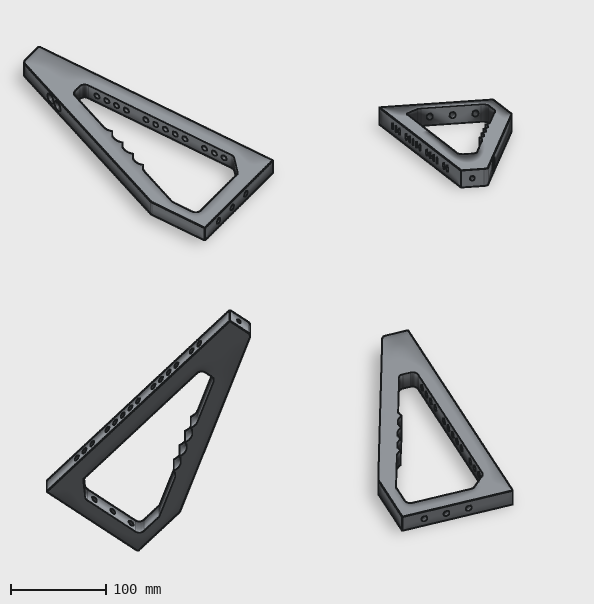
import cadquery as cq
import math

length = 300.0
width = 125.0
thickness = 19.0
taper_angle = math.radians(22.5)
foot_start = 231.0
bend_radius = 6.3
edge_chamfer = 0.5

rail = 19.0
front_rail = 13.0
window_left = 70.0
corner_cut = 18.5
window_radius = 6.3

ridge_count = 4
ridge_pitch = 20.0
scallop_radius = 13.8
first_ridge_x = 136.8

hole_pitch = width / 10
nose_hole_diameter = 5.0
rail_hole_diameter = 6.5
screw_diameter = 6.5
access_diameter = 11.0
nose_hole_depth = 2 * hole_pitch
drill_tip_angle = math.radians(118)
screw_steps = (4, 5)
back_hole_steps = (7, 8, 9, 10, 12, 13, 14, 15, 16, 18, 19, 20)
right_hole_steps = (4, 6, 8)

slope = math.tan(taper_angle)
nose_y = foot_start * slope
rail_along_y = rail / math.cos(taper_angle)
window_back = width - rail
window_right = length - rail
mid_z = thickness / 2


def inner_taper_y(x):
    """Y of the inner side of the tapered rail."""
    return (foot_start - x) * slope + rail_along_y


def upright_edge(x, y):
    """Selects the vertical edge nearest to a corner of the outline."""
    return cq.selectors.NearestToPointSelector((x, y, mid_z))


def make_plate():
    nose = (0, nose_y)
    foot = (foot_start, 0)
    square_corners = [(length, 0), (length, width), (0, width)]
    plate = cq.Workplane("XY").polyline([nose, foot] + square_corners).close().extrude(thickness)
    for corner in (nose, foot):
        plate = plate.edges(upright_edge(*corner)).fillet(bend_radius)
    for corner in square_corners:
        plate = plate.edges(upright_edge(*corner)).chamfer(edge_chamfer)
    return plate.faces("<Z or >Z").edges().chamfer(edge_chamfer)


def make_window():
    front_corner_x = foot_start + (rail_along_y - front_rail) / slope
    outline = [
        (window_left, inner_taper_y(window_left)),
        (front_corner_x, front_rail),
        (window_right, front_rail),
        (window_right, window_back - corner_cut),
        (window_right - corner_cut, window_back),
        (window_left, window_back),
    ]
    window = cq.Workplane("XY").polyline(outline).close().extrude(thickness)
    return window.edges("|Z").fillet(window_radius)


def make_grip():
    """Ridges between scallops that just touch the inner side of the tapered rail."""
    half_pitch = ridge_pitch / 2
    sweep = math.asin(half_pitch / scallop_radius)
    ridge_height = scallop_radius * (1 - math.cos(sweep))
    mid_along = scallop_radius * math.sin(sweep / 2)
    mid_height = scallop_radius * (1 - math.cos(sweep / 2))

    foot_of_ridge_x = first_ridge_x - ridge_height * math.sin(taper_angle)
    along_taper = cq.Plane(
        origin=(foot_of_ridge_x, inner_taper_y(foot_of_ridge_x), 0),
        xDir=(math.cos(taper_angle), -math.sin(taper_angle), 0),
        normal=(0, 0, 1),
    )
    root = -rail / 2
    grip = cq.Workplane(along_taper).moveTo(-half_pitch, root).lineTo(-half_pitch, 0)
    for step in range(ridge_count):
        ridge = step * ridge_pitch
        start = ridge - half_pitch
        end = ridge + half_pitch
        grip = grip.threePointArc((start + mid_along, mid_height), (ridge, ridge_height))
        grip = grip.threePointArc((end - mid_along, mid_height), (end, 0))
    return grip.lineTo(end, root).close().extrude(thickness)


def drill(diameter, depth, start, direction):
    """A round cutter from a start point at mid thickness."""
    x, y = start
    solid = cq.Solid.makeCylinder(diameter / 2, depth, cq.Vector(x, y, mid_z), cq.Vector(*direction))
    return cq.Workplane(solid)


def drill_screw_holes(body):
    """Wide access bores from the taper, leaving a back rail with a screw hole."""
    for step in screw_steps:
        x = step * hole_pitch
        body = body.cut(drill(access_diameter, window_back, (x, 0), (0, 1, 0)))
        body = body.cut(drill(screw_diameter, width, (x, 0), (0, 1, 0)))
    return body


def drill_rail_holes(body):
    """Through holes in the back and right rails."""
    for step in back_hole_steps:
        x = step * hole_pitch
        body = body.cut(drill(rail_hole_diameter, width - window_back, (x, window_back), (0, 1, 0)))
    for step in right_hole_steps:
        y = width - step * hole_pitch
        body = body.cut(drill(rail_hole_diameter, length - window_right, (window_right, y), (1, 0, 0)))
    return body


def drill_nose_hole(body):
    """Blind hole with a drill point, from the nose face."""
    y = width - hole_pitch
    radius = nose_hole_diameter / 2
    tip_length = radius / math.tan(drill_tip_angle / 2)
    tip_start = cq.Vector(nose_hole_depth, y, mid_z)
    tip = cq.Solid.makeCone(radius, 0, tip_length, tip_start, cq.Vector(1, 0, 0))
    body = body.cut(drill(nose_hole_diameter, nose_hole_depth, (0, y), (1, 0, 0)))
    return body.cut(cq.Workplane(tip))


body = make_plate().cut(make_window()).union(make_grip())
body = drill_screw_holes(body)
body = drill_rail_holes(body)
result = drill_nose_hole(body)